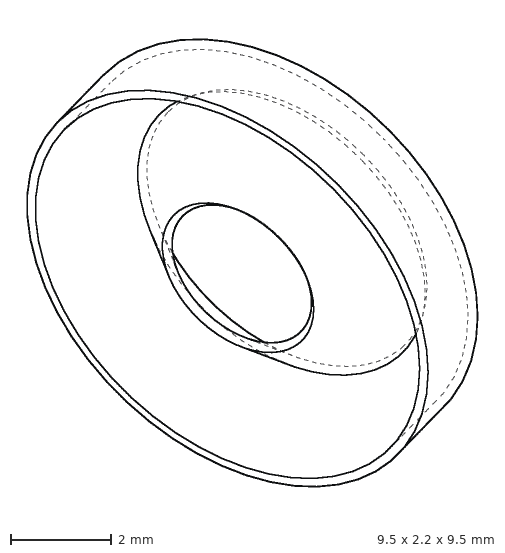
import cadquery as cq
import math

outer_diameter = 9.5
depth = 2.2
sheet = 0.2
outer_bend_radius = 0.5

cone_base_diameter = 6.8
hole_diameter = 3.3
cone_angle = math.radians(45)

outer_radius = outer_diameter / 2
inner_radius = outer_radius - sheet
floor_back = depth / 2
floor_front = floor_back - sheet
open_edge = -depth / 2

inner_bend_radius = outer_bend_radius - sheet
bend_center_radius = outer_radius - outer_bend_radius
bend_center_y = floor_back - outer_bend_radius

hole_radius = hole_diameter / 2
cone_base_radius = cone_base_diameter / 2
rim_radius = hole_radius + sheet * math.sin(cone_angle)
rim_y = floor_front - (cone_base_radius - rim_radius) * math.tan(cone_angle)
hole_y = rim_y + sheet * math.cos(cone_angle)
cone_back_radius = hole_radius + (floor_back - hole_y) / math.tan(cone_angle)


def bend_middle(bend_radius):
    """Return the midpoint of a quarter-round bend as (radius, Y)."""
    offset = bend_radius * math.sqrt(0.5)
    return (bend_center_radius + offset, bend_center_y + offset)


def make_cup():
    """Revolve the sheet's half section (radius, Y) about the Y axis."""
    section = (
        cq.Workplane("XY")
        .moveTo(hole_radius, hole_y)
        .lineTo(cone_back_radius, floor_back)
        .lineTo(bend_center_radius, floor_back)
        .threePointArc(bend_middle(outer_bend_radius), (outer_radius, bend_center_y))
        .lineTo(outer_radius, open_edge)
        .lineTo(inner_radius, open_edge)
        .lineTo(inner_radius, bend_center_y)
        .threePointArc(bend_middle(inner_bend_radius), (bend_center_radius, floor_front))
        .lineTo(cone_base_radius, floor_front)
        .lineTo(rim_radius, rim_y)
        .close()
    )
    return section.revolve(360, (0, 0, 0), (0, 1, 0))


result = make_cup()